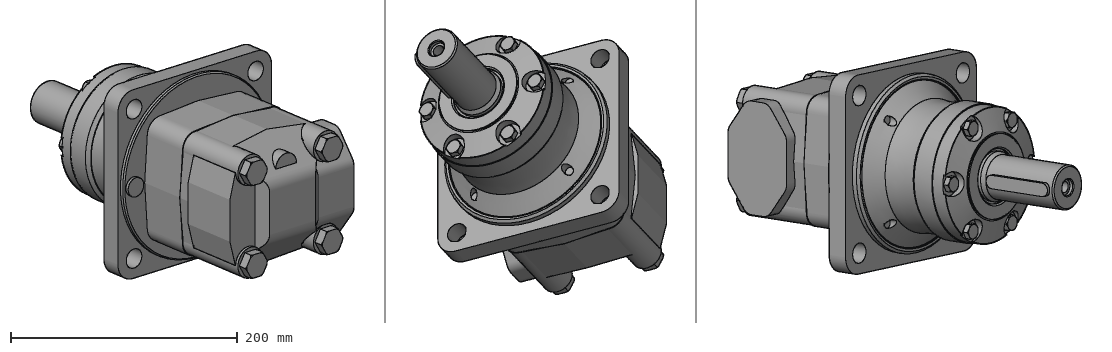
import cadquery as cq
import math


shoulder_x = 78.0
cover_front_x = 82.0
ring_front_x = 104.5
housing_front_x = 128.5
flare_start_x = 160.5
flare_end_x = 175.2
pilot_front_x = 174.2
flange_front_x = 181.2
flange_back_x = 200.5
gear_front_x = 204.7
end_cover_front_x = 252.5
rear_boss_end_x = 326.5
rear_face_x = 332.5
overall_length = 335.5

shaft_radius = 20.0
shaft_tip_chamfer = 1.5
collar_radius = 22.5
center_chamfer_diameter = 16.5
center_bore_diameter = 14.8
center_bore_depth = 4.0
center_drill_diameter = 10.0
center_drill_depth = 27.0
drill_point_height = center_drill_diameter / 2 / math.tan(math.radians(59))

key_width = 12.0
key_length = 70.8
key_start_x = 4.0
key_top = 23.0
key_bottom = 15.0

cover_radius = 61.5
cover_nose_radius = 38.3
cover_nose_length = 1.5
cover_cone_end_x = 90.3
cover_cone_start_radius = 39.5
cover_cone_end_radius = 60.7
seal_mouth_radius = 26.2
seal_recess_radius = 25.0
seal_mouth_depth = 1.5
seal_recess_depth = 3.5
cover_bolt_circle_radius = 53.5
cover_bolt_count = 6
cover_bolt_flats = 13.0
cover_bolt_front_x = 86.5
cover_pocket_diameter = 22.0
cover_pocket_floor_x = 92.3
ring_radius = 62.5
ring_chamfer = 3.7

housing_radius = 59.5
housing_waist_radius = 58.7
flare_start_radius = 60.0
flare_end_radius = 74.5
relief_outer_radius = 75.5
pilot_radius = 80.2
pilot_chamfer = 2.5
flange_side = 179.0
flange_corner_radius = 17.5
mounting_hole_diameter = 18.0
mounting_circle_radius = 100.0
back_disc_radius = 86.5
back_disc_chamfer = 1.5
flare_hole_diameter = 8.5
flare_hole_circle_radius = 65.5
flare_hole_floor_x = 169.8

plug_diameter = 18.0
plug_height = 3.0
plug_y = -75.0

column_offset = 44.0
gear_ridge_height = 62.0
gear_column_radius = 15.0
gear_edge_offset = 45.3
cover_ridge_height = 62.5
cover_column_radius = 14.5
cover_edge_offset = 42.3
rear_slope_start_x = 297.0
rear_edge_radius = 15.0
rear_core_half = cover_ridge_height - (rear_face_x - rear_slope_start_x)
rear_bolt_flats = 22.0
bolt_edge_chamfer = 1.0

slope_plug_radius = 12.0
slope_plug_end_x = 324.0
slope_plug_z = cover_ridge_height - (slope_plug_end_x - rear_slope_start_x)
slope_plug_length = 20.0

pad_start_x = 267.0
pad_end_x = 323.5
pad_face_y = -65.0
pad_edge_y = -58.7
pad_flat_half = 19.8
pad_half = 44.0
pad_root_y = -33.5

port_start_x = 264.0
port_end_x = 332.0
port_face_y = 72.0
port_root_y = 30.2
port_top_half_length = 12.5
port_half_height = 51.0
port_side_half_height = 23.0
port_corner_radius = 11.7


def revolved(profile):
    """Turn a closed (x, radius) outline about the X axis."""
    return profile.close().revolve(360, (0, 0, 0), (1, 0, 0))


def axial_cylinder(radius, start_x, end_x, y=0.0, z=0.0):
    """Solid cylinder parallel to X between two stations."""
    return (
        cq.Workplane("YZ", origin=(start_x, y, z))
        .circle(radius)
        .extrude(end_x - start_x)
    )


def square_pattern(offset):
    """The four (y, z) places at the given offset from both axes."""
    return [(y, z) for y in (-offset, offset) for z in (-offset, offset)]


def bolt_head(flats, start_x, end_x, y, z, chamfered_face):
    """Hexagon head along X with corners toward +Y and -Y and one end face beveled."""
    corner_circle = flats / math.cos(math.radians(30))
    hexagon = (
        cq.Workplane("YZ", origin=(start_x, y, z))
        .polygon(6, corner_circle)
        .extrude(end_x - start_x)
    )
    bevel = (
        axial_cylinder(corner_circle / 2, start_x, end_x, y, z)
        .faces(chamfered_face)
        .chamfer(bolt_edge_chamfer)
    )
    return hexagon.intersect(bevel)


def make_key():
    """Parallel key with round ends, set in the +Y side of the shaft."""
    return (
        cq.Workplane("XZ", origin=(key_start_x + key_length / 2, key_top, 0))
        .slot2D(key_length, key_width)
        .extrude(key_top - key_bottom)
    )


def make_shaft():
    """Output shaft with collar, keyway and drilled center hole."""
    body = revolved(
        cq.Workplane("XY")
        .moveTo(0, 0)
        .lineTo(0, shaft_radius - shaft_tip_chamfer)
        .lineTo(shaft_tip_chamfer, shaft_radius)
        .lineTo(shoulder_x, shaft_radius)
        .lineTo(cover_front_x, collar_radius)
        .lineTo(housing_front_x, collar_radius)
        .lineTo(housing_front_x, 0)
    )
    mouth_depth = (center_chamfer_diameter - center_bore_diameter) / 2
    center_hole = revolved(
        cq.Workplane("XY")
        .moveTo(0, 0)
        .lineTo(0, center_chamfer_diameter / 2)
        .lineTo(mouth_depth, center_bore_diameter / 2)
        .lineTo(center_bore_depth, center_bore_diameter / 2)
        .lineTo(center_bore_depth, center_drill_diameter / 2)
        .lineTo(center_drill_depth, center_drill_diameter / 2)
        .lineTo(center_drill_depth + drill_point_height, 0)
    )
    return body.cut(center_hole).cut(make_key())


def make_front_cover():
    """Conical cover with a seal recess and six bolt heads standing in round pockets."""
    nose_end_x = cover_front_x + cover_nose_length
    cover = revolved(
        cq.Workplane("XY")
        .moveTo(cover_front_x, seal_mouth_radius)
        .lineTo(cover_front_x, cover_nose_radius)
        .lineTo(nose_end_x, cover_nose_radius)
        .lineTo(nose_end_x, cover_cone_start_radius)
        .lineTo(cover_cone_end_x, cover_cone_end_radius)
        .lineTo(cover_cone_end_x, cover_radius)
        .lineTo(ring_front_x, cover_radius)
        .lineTo(ring_front_x, collar_radius)
        .lineTo(cover_front_x + seal_recess_depth, collar_radius)
        .lineTo(cover_front_x + seal_recess_depth, seal_recess_radius)
        .lineTo(cover_front_x + seal_mouth_depth, seal_recess_radius)
    )
    for index in range(cover_bolt_count):
        angle = 2 * math.pi * index / cover_bolt_count
        y = cover_bolt_circle_radius * math.cos(angle)
        z = cover_bolt_circle_radius * math.sin(angle)
        pocket = axial_cylinder(cover_pocket_diameter / 2, cover_front_x, cover_pocket_floor_x, y, z)
        head = bolt_head(cover_bolt_flats, cover_bolt_front_x, cover_pocket_floor_x, y, z, "<X")
        cover = cover.cut(pocket).union(head)
    return cover


def make_spacer_ring():
    """Plain ring between cover and housing, beveled at the back."""
    return revolved(
        cq.Workplane("XY")
        .moveTo(ring_front_x, collar_radius)
        .lineTo(ring_front_x, ring_radius)
        .lineTo(housing_front_x - ring_chamfer, ring_radius)
        .lineTo(housing_front_x, ring_radius - ring_chamfer)
        .lineTo(housing_front_x, collar_radius)
    )


def make_housing():
    """Slightly waisted bearing housing with flare, relieved pilot, square flange and back disc."""
    neck = revolved(
        cq.Workplane("XY")
        .moveTo(housing_front_x, 0)
        .lineTo(housing_front_x, housing_radius)
        .threePointArc(
            ((housing_front_x + flare_start_x) / 2, housing_waist_radius),
            (flare_start_x, flare_start_radius),
        )
        .lineTo(flare_end_x, flare_end_radius)
        .lineTo(flare_end_x, relief_outer_radius)
        .lineTo(pilot_front_x, relief_outer_radius)
        .lineTo(pilot_front_x, pilot_radius - pilot_chamfer)
        .lineTo(pilot_front_x + pilot_chamfer, pilot_radius)
        .lineTo(flange_front_x, pilot_radius)
        .lineTo(flange_front_x, 0)
    )
    flange = (
        cq.Workplane("YZ", origin=(flange_front_x, 0, 0))
        .rect(flange_side, flange_side)
        .extrude(flange_back_x - flange_front_x)
        .edges("|X")
        .fillet(flange_corner_radius)
    )
    back_disc = (
        axial_cylinder(back_disc_radius, flange_back_x, gear_front_x)
        .faces(">X")
        .chamfer(back_disc_chamfer)
    )
    housing = neck.union(flange).union(back_disc)
    for y, z in square_pattern(mounting_circle_radius / math.sqrt(2)):
        hole = axial_cylinder(mounting_hole_diameter / 2, flange_front_x, flange_back_x, y, z)
        housing = housing.cut(hole)
    for y, z in square_pattern(flare_hole_circle_radius / math.sqrt(2)):
        hole = axial_cylinder(flare_hole_diameter / 2, flare_start_x, flare_hole_floor_x, y, z)
        housing = housing.cut(hole)
    return housing


def make_drain_plug():
    """Low round plug on the back of the housing."""
    return axial_cylinder(plug_diameter / 2, gear_front_x, gear_front_x + plug_height, plug_y)


def ridged_block(start_x, end_x, ridge_height, edge_offset, column_radius):
    """Prism whose four sides each rise to a central ridge and end on the corner columns."""
    edge_height = column_offset + math.sqrt(column_radius**2 - (edge_offset - column_offset) ** 2)
    return (
        cq.Workplane("YZ", origin=(start_x, 0, 0))
        .polyline([
            (0, ridge_height),
            (edge_offset, edge_height),
            (edge_height, edge_offset),
            (ridge_height, 0),
            (edge_height, -edge_offset),
            (edge_offset, -edge_height),
            (0, -ridge_height),
            (-edge_offset, -edge_height),
            (-edge_height, -edge_offset),
            (-ridge_height, 0),
            (-edge_height, edge_offset),
            (-edge_offset, edge_height),
        ])
        .close()
        .extrude(end_x - start_x)
    )


def add_corner_columns(block, start_x, end_x, column_radius):
    """Round the four long corners with full-length columns."""
    for y, z in square_pattern(column_offset):
        block = block.union(axial_cylinder(column_radius, start_x, end_x, y, z))
    return block


def make_gear_set():
    """Gear housing between bearing housing and end cover."""
    block = ridged_block(
        gear_front_x, end_cover_front_x, gear_ridge_height, gear_edge_offset, gear_column_radius
    )
    return add_corner_columns(block, gear_front_x, end_cover_front_x, gear_column_radius)


def rear_slope_outline(plane):
    """Side outline of the end cover: parallel flanks, then 45 degree slopes to the rear face."""
    return (
        cq.Workplane(plane)
        .polyline([
            (end_cover_front_x, -cover_ridge_height),
            (rear_slope_start_x, -cover_ridge_height),
            (rear_face_x, -rear_core_half),
            (rear_face_x, rear_core_half),
            (rear_slope_start_x, cover_ridge_height),
            (end_cover_front_x, cover_ridge_height),
        ])
        .close()
        .extrude(cover_ridge_height, both=True)
    )


def make_side_pad():
    """Three-faced pad on the -Y side."""
    return (
        cq.Workplane("YZ", origin=(pad_start_x, 0, 0))
        .polyline([
            (pad_root_y, -pad_half),
            (pad_edge_y, -pad_half),
            (pad_face_y, -pad_flat_half),
            (pad_face_y, pad_flat_half),
            (pad_edge_y, pad_half),
            (pad_root_y, pad_half),
        ])
        .close()
        .extrude(pad_end_x - pad_start_x)
    )


def make_port_block():
    """Rounded octagonal block on the +Y side."""
    half_length = (port_end_x - port_start_x) / 2
    center_x = port_start_x + half_length
    return (
        cq.Workplane("XZ", origin=(center_x, port_face_y, 0))
        .polyline([
            (-port_top_half_length, port_half_height),
            (port_top_half_length, port_half_height),
            (half_length, port_side_half_height),
            (half_length, -port_side_half_height),
            (port_top_half_length, -port_half_height),
            (-port_top_half_length, -port_half_height),
            (-half_length, -port_side_half_height),
            (-half_length, port_side_half_height),
        ])
        .close()
        .extrude(port_face_y - port_root_y)
        .edges("|Y")
        .fillet(port_corner_radius)
    )


def make_end_cover():
    """End cover with sloped rear, bolt columns and heads, side pad, port block and plug boss."""
    cover = ridged_block(
        end_cover_front_x, rear_face_x, cover_ridge_height, cover_edge_offset, cover_column_radius
    )
    cover = cover.intersect(rear_slope_outline("XZ")).intersect(rear_slope_outline("XY"))
    cover = cover.faces(">X").edges("|Y").fillet(rear_edge_radius)
    cover = add_corner_columns(cover, end_cover_front_x, rear_boss_end_x, cover_column_radius)
    for y, z in square_pattern(column_offset):
        head = bolt_head(rear_bolt_flats, rear_boss_end_x, overall_length, y, z, ">X")
        cover = cover.union(head)
    slope_plug = axial_cylinder(
        slope_plug_radius, slope_plug_end_x - slope_plug_length, slope_plug_end_x, z=slope_plug_z
    )
    return cover.union(make_side_pad()).union(make_port_block()).union(slope_plug)


shaft = make_shaft()
key = make_key()
front_cover = make_front_cover()
spacer_ring = make_spacer_ring()
housing = make_housing()
drain_plug = make_drain_plug()
gear_set = make_gear_set()
end_cover = make_end_cover()

result = cq.Compound.makeCompound([
    shaft.val(),
    key.val(),
    front_cover.val(),
    spacer_ring.val(),
    housing.val(),
    drain_plug.val(),
    gear_set.val(),
    end_cover.val(),
])